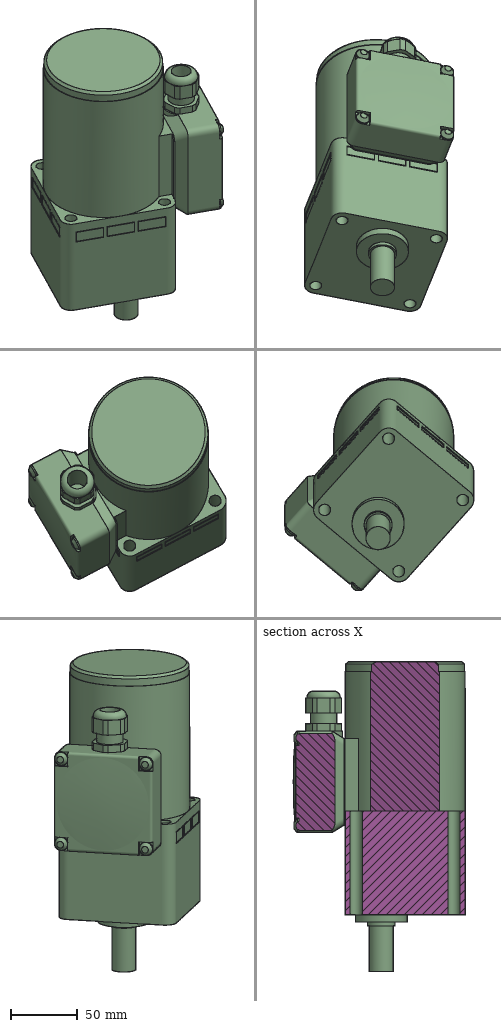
import cadquery as cq
import math

collar_bottom = 34.0
boss_bottom = 37.0
block_bottom = 42.5
block_top = 120.2
motor_top = 232.0

block_side = 90.0
block_corner_radius = 8.5
bolt_hole_diameter = 8.8
bolt_hole_spacing = 73.3
shaft_offset = 17.9
boss_diameter = 39.0
collar_diameter = 20.9
shaft_diameter = 18.0
window_width = 21.3
window_height = 8.5
window_pitch = 24.4
window_depth = 0.7
window_drop = 8.0
window_count = 3
block_face = block_side / 2

motor_diameter = block_side
rim_diameter = 89.0
rim_height = 7.5
rim_chamfer_radial = 2.0
rim_chamfer_height = 1.9

box_side = 76.0
box_corner_radius = 5.0
foot_side = 65.2
foot_thickness = 1.0
pedestal_width = 56.5
box_center_z = 142.0
taper_end = 54.8
lid_seam = 79.5
lid_thickness = 2.5
lid_edge_radius = 2.0
crown_radius = 35.7
crown_rise = 1.9
foot_back = block_face + foot_thickness
foot_top = box_center_z + foot_side / 2
box_top = box_center_z + box_side / 2
lid_face = lid_seam + lid_thickness

screw_pocket = 10.7
screw_head_radius = 5.0
screw_head_height = 3.7
screw_head_chamfer = 2.5
screw_inset = screw_pocket / 2

gland_y = 61.0
gland_base_radius = 14.2
hex_across_flats = 25.0
hex_corner_diameter = 27.0
neck_diameter = 20.0
cable_hole_diameter = 14.8
locknut_top = 185.5
nut_bottom = 193.5
nut_top = 204.9
gland_top = 210.0
dome_rounding = 4.9


def disc(diameter, bottom, top, y=0):
    """Upright cylinder on the X = 0 plane."""
    return cq.Workplane("XY", origin=(0, y, bottom)).circle(diameter / 2).extrude(top - bottom)


def make_gearbox():
    height = block_top - block_bottom
    block = (
        cq.Workplane("XY", origin=(0, 0, block_bottom))
        .rect(block_side, block_side)
        .extrude(height)
        .edges("|Z")
        .fillet(block_corner_radius)
    )
    holes = (
        cq.Workplane("XY", origin=(0, 0, block_bottom))
        .rect(bolt_hole_spacing, bolt_hole_spacing, forConstruction=True)
        .vertices()
        .circle(bolt_hole_diameter / 2)
        .extrude(height)
    )
    block = block.cut(holes)

    window_z = block_top - window_drop - window_height / 2
    window_row = (
        cq.Workplane("XZ", origin=(0, -block_face, window_z))
        .rarray(window_pitch, 2.3, window_count, 1)
        .rect(window_width, window_height)
        .extrude(-window_depth)
    )
    for angle in (0, 90, 180, 270):
        block = block.cut(window_row.rotate((0, 0, 0), (0, 0, 1), angle))

    boss = disc(boss_diameter, boss_bottom, block_bottom, shaft_offset)
    collar = disc(collar_diameter, collar_bottom, boss_bottom, shaft_offset)
    shaft = disc(shaft_diameter, 0, collar_bottom, shaft_offset)
    return block.union(boss).union(collar).union(shaft)


def make_motor_can():
    rim_bottom = motor_top - rim_height
    rim_radius = rim_diameter / 2
    can = disc(motor_diameter, block_top, rim_bottom)
    rim = (
        cq.Workplane("XZ")
        .moveTo(0, rim_bottom)
        .lineTo(rim_radius, rim_bottom)
        .lineTo(rim_radius, motor_top - rim_chamfer_height)
        .lineTo(rim_radius - rim_chamfer_radial, motor_top)
        .lineTo(0, motor_top)
        .close()
        .revolve(360, (0, 0), (0, 1))
    )
    return can.union(rim)


def rounded_square(side):
    return cq.Sketch().rect(side, side).vertices().fillet(box_corner_radius)


def box_plane(y):
    """Sketch plane at the given Y, centred on the box, with its normal toward +Y."""
    return cq.Workplane(cq.Plane((0, y, box_center_z), xDir=(-1, 0, 0), normal=(0, 1, 0)))


def make_terminal_box():
    pedestal = cq.Workplane("XY", origin=(0, 0, block_top)).box(
        pedestal_width, foot_back, foot_top - block_top, centered=(True, False, False)
    )
    foot = box_plane(block_face).placeSketch(rounded_square(foot_side)).extrude(foot_thickness)
    taper = (
        box_plane(foot_back)
        .placeSketch(
            rounded_square(foot_side),
            rounded_square(box_side).moved(cq.Location(cq.Vector(0, 0, taper_end - foot_back))),
        )
        .loft()
    )
    walls = box_plane(taper_end).placeSketch(rounded_square(box_side)).extrude(lid_seam - taper_end)
    return pedestal.union(foot).union(taper).union(walls).union(make_lid())


def make_lid():
    lid = (
        box_plane(lid_seam)
        .placeSketch(rounded_square(box_side))
        .extrude(lid_thickness)
        .faces(">Y")
        .edges()
        .fillet(lid_edge_radius)
    )
    sphere_radius = (crown_radius**2 + crown_rise**2) / (2 * crown_rise)
    sphere_center = lid_face + crown_rise - sphere_radius
    crown = (
        cq.Workplane("XY")
        .sphere(sphere_radius)
        .translate((0, sphere_center, box_center_z))
        .intersect(box_plane(lid_face).circle(crown_radius).extrude(crown_rise))
    )
    lid = lid.union(crown)

    corner_spacing = box_side - 2 * screw_inset
    pockets = (
        box_plane(lid_seam)
        .rarray(corner_spacing, corner_spacing, 2, 2)
        .rect(screw_pocket, screw_pocket)
        .extrude(lid_thickness + crown_rise)
    )
    screws = (
        box_plane(lid_seam)
        .rarray(corner_spacing, corner_spacing, 2, 2)
        .circle(screw_head_radius)
        .extrude(screw_head_height)
        .faces(">Y")
        .edges()
        .chamfer(screw_head_chamfer)
    )
    return lid.cut(pockets).union(screws)


def hex_nut(bottom, top):
    hexagon = (
        cq.Workplane("XY", origin=(0, gland_y, bottom))
        .transformed(rotate=(0, 0, 90))
        .polygon(6, hex_across_flats / math.cos(math.radians(30)))
        .extrude(top - bottom)
    )
    return hexagon.intersect(disc(hex_corner_diameter, bottom, top, gland_y))


def make_gland():
    base = disc(2 * gland_base_radius, foot_top, box_top, gland_y)
    locknut = hex_nut(box_top, locknut_top)
    neck = disc(neck_diameter, locknut_top, nut_bottom, gland_y)
    nut = hex_nut(nut_bottom, nut_top)
    dome = disc(hex_across_flats, nut_top, gland_top, gland_y).faces(">Z").edges().fillet(dome_rounding)
    cable_hole = disc(cable_hole_diameter, box_top, gland_top, gland_y)
    return base.union(locknut).union(neck).union(nut).union(dome).cut(cable_hole)


gearbox = make_gearbox()
motor = make_motor_can().union(make_terminal_box()).union(make_gland())

result = cq.Compound.makeCompound([gearbox.solids().val(), motor.solids().val()])